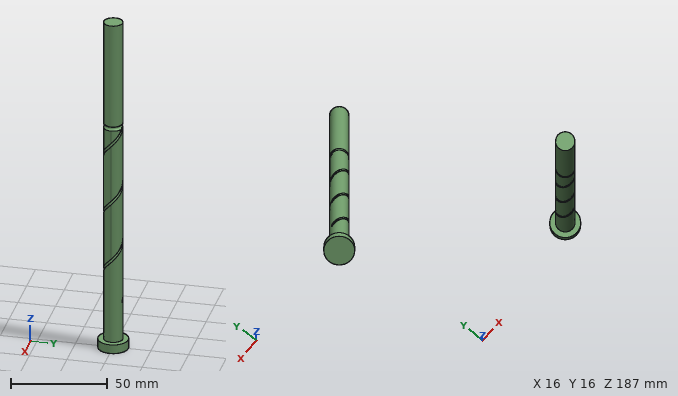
import cadquery as cq

total_length = 187.0
head_diameter = 16.0
head_height = 5.0
rod_diameter = 10.1
rod_radius = rod_diameter / 2

ring_center_height = 127.7
ring_groove_radius = 1.1

spiral_pitch = 33.3
spiral_turns = 3
spiral_length = spiral_pitch * spiral_turns
spiral_bottom = 27.0
spiral_start_angle = 90.0
cutter_radius = 1.1
spiral_depth = 0.5
cutter_path_radius = rod_radius + cutter_radius - spiral_depth


def headed_rod():
    """Round rod standing on a flat round head."""
    head = cq.Workplane("XY").circle(head_diameter / 2).extrude(head_height)
    rod = cq.Workplane("XY").circle(rod_radius).extrude(total_length)
    return head.union(rod)


def ring_groove_cutter():
    """Torus centered on the rod surface, leaving a half-round groove."""
    return (
        cq.Workplane("XZ")
        .center(rod_radius, ring_center_height)
        .circle(ring_groove_radius)
        .revolve(360, (-rod_radius, 0, 0), (-rod_radius, 1, 0))
    )


def spiral_groove_cutter():
    """Round section swept along a helix that partly bites into the rod."""
    path = cq.Wire.makeHelix(spiral_pitch, spiral_length, cutter_path_radius)
    return (
        cq.Workplane("XZ")
        .center(cutter_path_radius, 0)
        .circle(cutter_radius)
        .sweep(cq.Workplane(path), isFrenet=True)
        .rotate((0, 0, 0), (0, 0, 1), spiral_start_angle)
        .translate((0, 0, spiral_bottom))
    )


result = headed_rod().cut(ring_groove_cutter()).cut(spiral_groove_cutter())